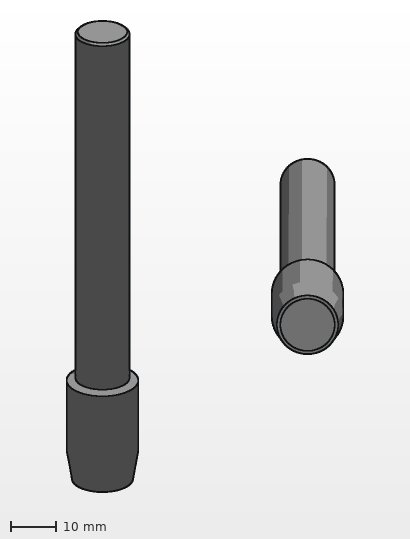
import cadquery as cq

TOTAL_LENGTH = 110.0

SLEEVE_DIAMETER = 15.8
SLEEVE_LENGTH = 24.9
TAPER_LENGTH = 6.9
TAPER_END_DIAMETER = 13.5
SHOULDER_HEIGHT = 0.7

ROD_DIAMETER = 12.0
ROD_TOP_CHAMFER = 0.5


def make_rod():
    """Plain round rod with a chamfered top edge."""
    return (
        cq.Workplane("XY")
        .circle(ROD_DIAMETER / 2)
        .extrude(TOTAL_LENGTH)
        .faces(">Z")
        .chamfer(ROD_TOP_CHAMFER)
    )


def make_sleeve():
    """Collar turned from a half profile, with a bore that fits the rod."""
    bore_radius = ROD_DIAMETER / 2
    outer_radius = SLEEVE_DIAMETER / 2
    profile = (
        cq.Workplane("XZ")
        .moveTo(bore_radius, 0)
        .lineTo(TAPER_END_DIAMETER / 2, 0)
        .lineTo(outer_radius, TAPER_LENGTH)
        .lineTo(outer_radius, SLEEVE_LENGTH - SHOULDER_HEIGHT)
        .lineTo(bore_radius, SLEEVE_LENGTH)
        .close()
    )
    return profile.revolve(360, (0, 0, 0), (0, 1, 0))


rod = make_rod()
sleeve = make_sleeve()

result = cq.Compound.makeCompound([rod.val(), sleeve.val()])